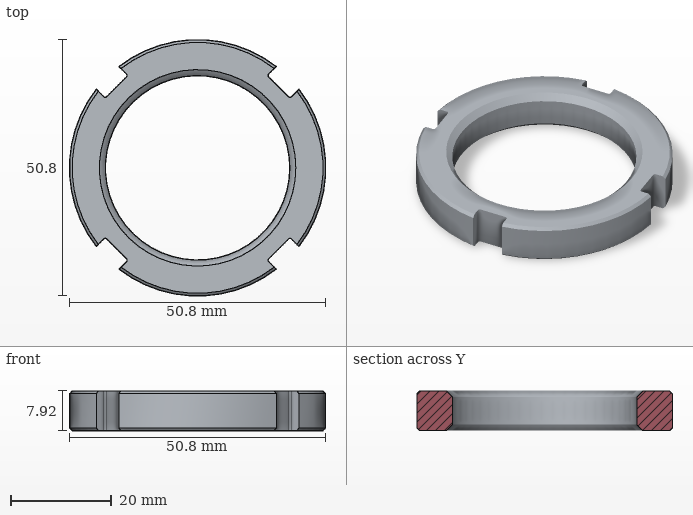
import cadquery as cq

outer_diameter = 50.8
thickness = 7.92
bore_diameter = 36.46
bore_chamfer_diameter = 38.9
rim_chamfer = 0.56

slot_count = 4
slot_width = 6.35
slot_floor_radius = 22.7
slot_corner_radius = 0.42
first_slot_angle = 45.0
slot_pitch_angle = 360 / slot_count

outer_radius = outer_diameter / 2
bore_chamfer = (bore_chamfer_diameter - bore_diameter) / 2


def make_ring():
    """Ring with both outer rims and both bore mouths chamfered at 45 degrees."""
    disc = cq.Workplane("XY").circle(outer_radius).extrude(thickness / 2, both=True)
    disc = disc.faces("<Z or >Z").edges().chamfer(rim_chamfer)
    return disc.cut(make_bore())


def make_bore():
    """Bore cutter whose two mouths flare out to the chamfer diameter."""
    bore_radius = bore_diameter / 2
    mouth_radius = bore_chamfer_diameter / 2
    top = thickness / 2
    chamfer_start = top - bore_chamfer
    return (
        cq.Workplane("XZ")
        .moveTo(0, -top)
        .lineTo(mouth_radius, -top)
        .lineTo(bore_radius, -chamfer_start)
        .lineTo(bore_radius, chamfer_start)
        .lineTo(mouth_radius, top)
        .lineTo(0, top)
        .close()
        .revolve(360, (0, 0, 0), (0, 1, 0))
    )


def make_slot(angle):
    """Cutter for one slot, open at the rim, with rounded corners at its floor."""
    slot_length = outer_radius - slot_floor_radius + slot_width
    cutter = cq.Workplane("XY").box(slot_length, slot_width, thickness, centered=(False, True, True))
    cutter = cutter.edges("|Z and <X").fillet(slot_corner_radius)
    return cutter.translate((slot_floor_radius, 0, 0)).rotate((0, 0, 0), (0, 0, 1), angle)


result = make_ring()
for index in range(slot_count):
    result = result.cut(make_slot(first_slot_angle + index * slot_pitch_angle))